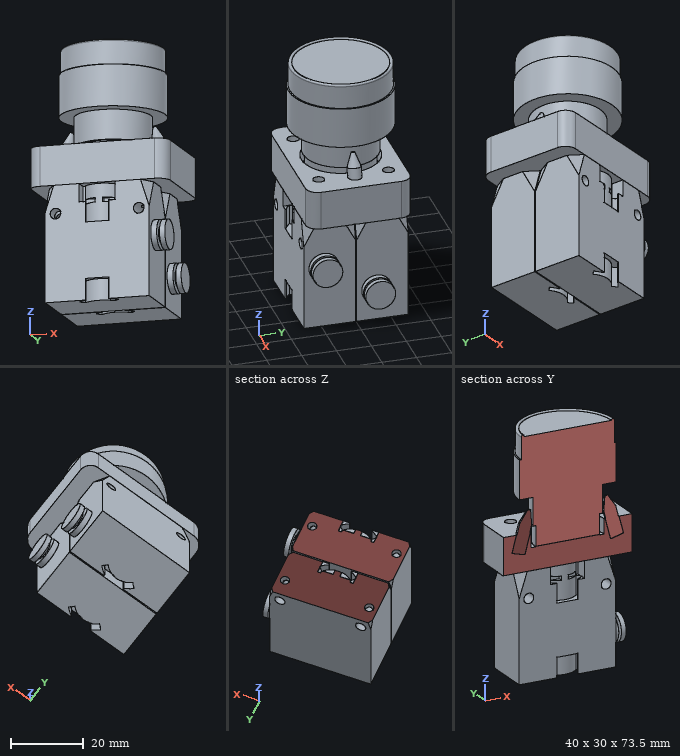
import cadquery as cq
import math

block_top = 33.0
plate_top = 44.4
collar_top = 46.0
bezel_bottom = 54.5
bezel_top = 66.3
total_height = 73.5

collar_diameter = 20.0
neck_diameter = 21.7
bezel_diameter = 30.0
cap_diameter = 29.0
rim_radius = 0.5

plate_length = 40.0
plate_width = 30.0
plate_corner_radius = 3.5
plate_hole_diameter = 3.2
collar_seat_diameter = 22.5
collar_seat_depth = 4.5
hole_half_pitch_x = 12.5
hole_half_pitch_y = 10.0

screw_diameter = 4.0
screw_tip_diameter = 1.0
screw_tilt = 15.0
screw_base_x = 13.75
screw_shank_height = 2.8
screw_tip_height = 4.2
screw_embedded_length = 5.9

block_length = 30.0
block_gap = 0.3
block_depth = (plate_width - block_gap) / 2
corner_cut_x = 2.5
corner_cut_y = 4.1
corner_cut_height = 7.65
cross_hole_diameter = 3.0
cross_hole_half_pitch = 12.0
cross_hole_height = 25.0
pilot_hole_diameter = 2.4

core_radius = 6.0
ring_radius = 7.8
core_half_angle = 45.0
slot_half_width = 3.3
lower_slot_top = 6.1
middle_slot_bottom = 22.05
window_half_width = 5.2
window_bottom = 27.85
window_back_y = -3.7
window_core_half_width = 4.4
notch_height = 1.25
notch_inner_x = 1.0
notch_outer_x = 4.05

terminal_diameter = 8.5
terminal_neck_diameter = 5.0
terminal_groove_start = 1.7
terminal_groove_width = 0.8
terminal_length = 4.05
front_terminal_height = 18.3
rear_terminal_height = 9.3
terminal_offset_y = -1.7


def make_head():
    """Collar, neck, bezel and cap, turned about Z, with a rounded rim around the cap face."""
    collar_bottom = plate_top - collar_seat_depth
    rim_outer = cap_diameter / 2
    rim_inner = rim_outer - 2 * rim_radius
    rim_base = total_height - rim_radius
    return (
        cq.Workplane("XZ")
        .moveTo(0, collar_bottom)
        .lineTo(collar_diameter / 2, collar_bottom)
        .lineTo(collar_diameter / 2, collar_top)
        .lineTo(neck_diameter / 2, collar_top)
        .lineTo(neck_diameter / 2, bezel_bottom)
        .lineTo(bezel_diameter / 2, bezel_bottom)
        .lineTo(bezel_diameter / 2, bezel_top)
        .lineTo(rim_outer, bezel_top)
        .lineTo(rim_outer, rim_base)
        .threePointArc((rim_outer - rim_radius, total_height), (rim_inner, rim_base))
        .lineTo(0, rim_base)
        .close()
        .revolve(360, (0, 0, 0), (0, 1, 0))
    )


def make_screw(side):
    """Pointed screw on the given X side (-1 or 1), leaning toward the neck."""
    radius = screw_diameter / 2
    tip_start = screw_shank_height
    tip_end = screw_shank_height + screw_tip_height
    return (
        cq.Workplane("XZ")
        .polyline([
            (0, -screw_embedded_length),
            (radius, -screw_embedded_length),
            (radius, tip_start),
            (screw_tip_diameter / 2, tip_end),
            (0, tip_end),
        ])
        .close()
        .revolve(360, (0, 0, 0), (0, 1, 0))
        .rotate((0, 0, 0), (0, 1, 0), -side * screw_tilt)
        .translate((side * screw_base_x, 0, plate_top))
    )


def make_plate(screws):
    """Rounded plate with a seat around the collar, four through holes and a recess for each screw."""
    plate = (
        cq.Workplane("XY", origin=(0, 0, block_top))
        .rect(plate_length, plate_width)
        .extrude(plate_top - block_top)
        .edges("|Z")
        .fillet(plate_corner_radius)
        .faces(">Z")
        .workplane()
        .rect(2 * hole_half_pitch_x, 2 * hole_half_pitch_y, forConstruction=True)
        .vertices()
        .hole(plate_hole_diameter)
        .faces(">Z")
        .workplane()
        .hole(collar_seat_diameter, collar_seat_depth)
    )
    for screw in screws:
        plate = plate.cut(screw)
    return plate


def corner_cut(side_x, side_y):
    """Tetrahedron that bevels one upper corner of a block centred on Z."""
    corner_x = side_x * block_length / 2
    corner_y = side_y * block_depth / 2
    top = cq.Vector(corner_x, corner_y, block_top)
    along_x = cq.Vector(corner_x - side_x * corner_cut_x, corner_y, block_top)
    along_y = cq.Vector(corner_x, corner_y - side_y * corner_cut_y, block_top)
    below = cq.Vector(corner_x, corner_y, block_top - corner_cut_height)
    triangles = [
        (top, along_x, along_y),
        (top, along_x, below),
        (top, along_y, below),
        (along_x, along_y, below),
    ]
    faces = [cq.Face.makeFromWires(cq.Wire.makePolygon(list(points), close=True)) for points in triangles]
    return cq.Workplane(cq.Solid.makeSolid(cq.Shell.makeShell(faces)))


def core(bottom, top):
    """Round column on the block axis that the recesses leave standing."""
    return cq.Workplane("XY", origin=(0, 0, bottom)).circle(core_radius).extrude(top - bottom)


def front_pocket(half_width, back_y, bottom, top):
    """Box that runs from the front face of the block back to back_y."""
    front_y = -block_depth / 2
    return cq.Workplane("XY").box(
        2 * half_width, back_y - front_y, top - bottom, centered=(True, False, False)
    ).translate((0, front_y, bottom))


def curved_slot(bottom, top):
    """Sector of a ring around the core, opened to the front face by a narrower slot."""
    reach = 2 * ring_radius
    spread = reach * math.tan(math.radians(core_half_angle))
    wedge = (
        cq.Workplane("XY", origin=(0, 0, bottom))
        .polyline([(0, 0), (-spread, -reach), (spread, -reach)])
        .close()
        .extrude(top - bottom)
    )
    ring = cq.Workplane("XY", origin=(0, 0, bottom)).circle(ring_radius).extrude(top - bottom)
    opening = front_pocket(slot_half_width, window_back_y, bottom, top)
    return ring.intersect(wedge).union(opening).cut(core(bottom, top))


def front_window():
    """Rectangular window at the top front, around a flat-sided part of the core."""
    window = front_pocket(window_half_width, window_back_y, window_bottom, block_top)
    column = core(window_bottom, block_top)
    flat_sided_core = column.intersect(front_pocket(window_core_half_width, 0, window_bottom, block_top))
    return window.cut(flat_sided_core)


def core_notch(side):
    """Flat-backed notch in the core, on the given X side, at the foot of the window."""
    width = notch_outer_x - notch_inner_x
    back_y = -math.sqrt(core_radius**2 - notch_outer_x**2)
    center_x = side * (notch_inner_x + notch_outer_x) / 2
    notch = front_pocket(width / 2, back_y, window_bottom, window_bottom + notch_height)
    return notch.translate((center_x, 0, 0))


def make_terminal(height):
    """Grooved round terminal standing on the +X face."""
    radius = terminal_diameter / 2
    neck_radius = terminal_neck_diameter / 2
    groove_end = terminal_groove_start + terminal_groove_width
    return (
        cq.Workplane("YZ", origin=(block_length / 2, terminal_offset_y, height))
        .circle(radius)
        .extrude(terminal_groove_start)
        .faces(">X")
        .workplane()
        .circle(neck_radius)
        .extrude(terminal_groove_width)
        .faces(">X")
        .workplane()
        .circle(radius)
        .extrude(terminal_length - groove_end)
    )


def make_block(center_y, terminal_height):
    """Contact block with beveled corners, holes, front recesses and one terminal."""
    block = cq.Workplane("XY").box(block_length, block_depth, block_top, centered=(True, True, False))
    hole_y = math.copysign(hole_half_pitch_y, center_y) - center_y
    for side_x in (-1, 1):
        for side_y in (-1, 1):
            block = block.cut(corner_cut(side_x, side_y))
        cross_hole = (
            cq.Workplane("XZ", origin=(side_x * cross_hole_half_pitch, block_depth / 2, cross_hole_height))
            .circle(cross_hole_diameter / 2)
            .extrude(block_depth)
        )
        pilot_hole = (
            cq.Workplane("XY", origin=(side_x * hole_half_pitch_x, hole_y, cross_hole_height))
            .circle(pilot_hole_diameter / 2)
            .extrude(block_top - cross_hole_height)
        )
        block = block.cut(cross_hole).cut(pilot_hole).cut(core_notch(side_x))
    block = (
        block.cut(curved_slot(0, lower_slot_top))
        .cut(curved_slot(middle_slot_bottom, window_bottom))
        .cut(front_window())
        .union(make_terminal(terminal_height))
    )
    return block.translate((0, center_y, 0))


head = make_head()
screws = [make_screw(side) for side in (-1, 1)]
plate = make_plate(screws)

block_center_y = (block_gap + block_depth) / 2
front_block = make_block(-block_center_y, front_terminal_height)
rear_block = make_block(block_center_y, rear_terminal_height)

result = cq.Compound.makeCompound(
    [
        head.val(),
        plate.val(),
        *[screw.val() for screw in screws],
        front_block.val(),
        rear_block.val(),
    ]
)